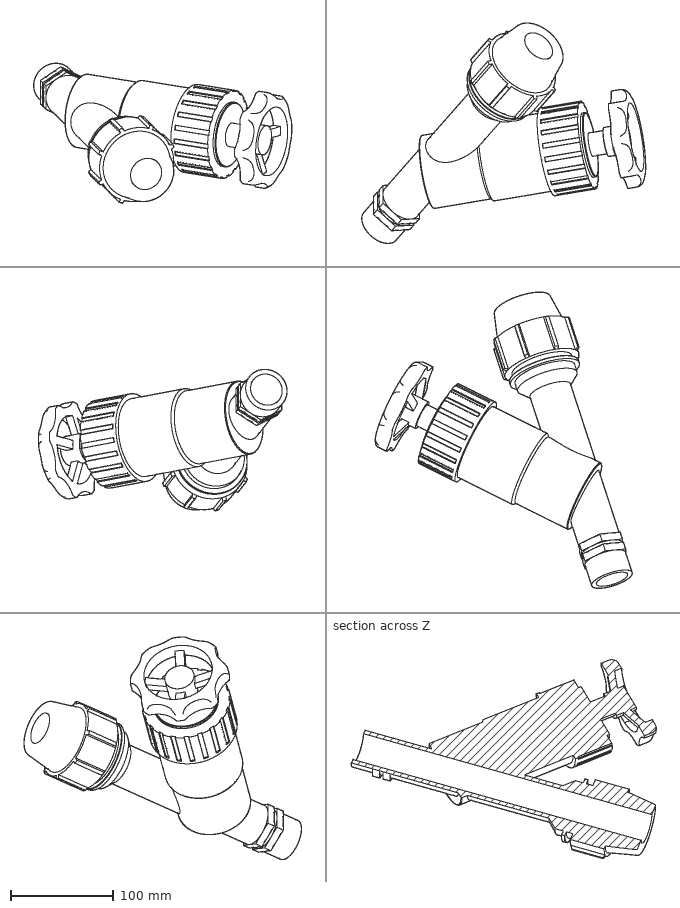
import cadquery as cq
import math

overall_length = 299.0
pipe_d = 41.91
bore_d = 32.0
hex_starts = (22.0, 32.8)
hex_width = 7.6
hex_sides = 6

socket_d = 61.5
socket_start = 204.9
flange_d = 71.34
flange_start = 222.8
flange_width = 3.6
flange_chamfer = 0.5
nut_d = 76.2
nut_start = 232.7
nut_length = 35.4
nut_rib_count = 8
nut_rib_tip_r = 41.3
nut_rib_width = 4.6
nut_rib_top_width = 3.8
nut_rib_front_slope = 2.0
nut_rib_back_slope = 1.0
nose_start_d = 68.8
nose_end_d = 57.4
nose_round = 2.0

branch_foot_x = 90.0
branch_angle = 45.0
lower_d = 72.9
lower_chamfer = 0.8
upper_d = 77.76
upper_start = 58.3
upper_ramp = 2.4
collar_d = 87.48
collar_start = 121.0
collar_end = 161.7
collar_groove_count = 20
collar_groove_width = 4.6
collar_groove_depth = 1.3
collar_groove_start = 124.6
cap_d = 64.15
cap_end = 164.6
cap_chamfer = 0.8
stem_d = 23.33
hub_d = 29.16
hub_start = 180.3
hub_end = 202.2

wheel_d = 97.18
wheel_bottom = 194.1
wheel_height = 15.7
wheel_round = 7.3
wheel_opening_d = 68.0
lobe_count = 8
lobe_tip_width = 8.2
lobe_corner_r = 2.0
scallop_floor_r = 42.1
spoke_count = 4
spoke_width = 9.0
spoke_hub_bottom = 187.8
spoke_thickness = 8.0

overlap = 1.0

wheel_r = wheel_d / 2
wheel_top = wheel_bottom + wheel_height


def rod(diameter, start, end):
    """Cylinder along local Z between two heights."""
    return cq.Workplane("XY").workplane(offset=start).circle(diameter / 2).extrude(end - start)


def turned(points):
    """Solid of revolution about local Z from (radius, height) points."""
    return cq.Workplane("XZ").polyline(points).close().revolve(360, (0, 0), (0, 1))


def placed(local_solid, plane):
    """Move a solid built along Z so that Z becomes the normal of the plane."""
    return cq.Workplane("XY").newObject([local_solid.val().moved(cq.Location(plane))])


def polar_copies(feature, count, first_angle=0.0):
    """Union of copies of a feature spaced evenly about local Z."""
    ring = cq.Workplane("XY")
    for i in range(count):
        ring = ring.add(feature.rotate((0, 0, 0), (0, 0, 1), first_angle + i * 360 / count))
    return ring.combine()


def make_pipe():
    pipe = rod(pipe_d, 0, socket_start + overlap)
    corner_d = pipe_d / math.cos(math.pi / hex_sides)
    for start in hex_starts:
        hexagon = cq.Workplane("XY").workplane(offset=start).polygon(hex_sides, corner_d).extrude(hex_width)
        pipe = pipe.union(hexagon.rotate((0, 0, 0), (0, 0, 1), 180 / hex_sides))
    return pipe


def make_nut_rib():
    """One nut rib along local +X: sloped ends and sides narrowing towards the tip."""
    nut_end = nut_start + nut_length
    root_r = nut_d / 2 - overlap
    side = (
        cq.Workplane("XZ")
        .polyline([
            (root_r, nut_start),
            (nut_d / 2, nut_start),
            (nut_rib_tip_r, nut_start + nut_rib_front_slope),
            (nut_rib_tip_r, nut_end - nut_rib_back_slope),
            (nut_d / 2, nut_end),
            (root_r, nut_end),
        ])
        .close()
        .extrude(nut_rib_width / 2, both=True)
    )
    section = (
        cq.Workplane("XY")
        .workplane(offset=nut_start)
        .polyline([
            (root_r, -nut_rib_width / 2),
            (nut_rib_tip_r, -nut_rib_top_width / 2),
            (nut_rib_tip_r, nut_rib_top_width / 2),
            (root_r, nut_rib_width / 2),
        ])
        .close()
        .extrude(nut_length)
    )
    return side.intersect(section)


def make_coupling():
    cone_length = (socket_d - pipe_d) / 2
    nut_end = nut_start + nut_length
    socket = turned([
        (0, socket_start),
        (pipe_d / 2, socket_start),
        (socket_d / 2, socket_start + cone_length),
        (socket_d / 2, nut_start + overlap),
        (0, nut_start + overlap),
    ])
    flange = rod(flange_d, flange_start, flange_start + flange_width).faces(">Z").chamfer(flange_chamfer)
    nut = rod(nut_d, nut_start, nut_end)
    nose = turned([
        (0, nut_end),
        (nose_start_d / 2, nut_end),
        (nose_end_d / 2, overall_length),
        (0, overall_length),
    ]).faces(">Z").edges().fillet(nose_round)
    ribs = polar_copies(make_nut_rib(), nut_rib_count, 180 / nut_rib_count)
    return socket.union(flange).union(nut).union(nose).union(ribs)


def make_valve_body():
    lower = rod(lower_d, 0, upper_start + upper_ramp).faces("<Z").chamfer(lower_chamfer)
    upper = turned([
        (0, upper_start),
        (lower_d / 2, upper_start),
        (upper_d / 2, upper_start + upper_ramp),
        (upper_d / 2, collar_start),
        (0, collar_start),
    ])
    collar = rod(collar_d, collar_start, collar_end)
    groove = (
        cq.Workplane("XY")
        .workplane(offset=collar_groove_start)
        .center(collar_d / 2, 0)
        .rect(2 * collar_groove_depth, collar_groove_width)
        .extrude(collar_end - collar_groove_start)
    )
    collar = collar.cut(polar_copies(groove, collar_groove_count))
    cap = rod(cap_d, collar_end, cap_end).faces(">Z").chamfer(cap_chamfer)
    return lower.union(upper).union(collar).union(cap)


def make_scallop():
    """Cutter for one finger recess, between the lobes on either side of local +X."""
    half_tip_angle = math.asin(lobe_tip_width / 2 / wheel_r)
    half_gap_angle = math.pi / lobe_count - half_tip_angle
    chord_half = wheel_r * math.sin(half_gap_angle)
    chord_x = wheel_r * math.cos(half_gap_angle)
    sag = chord_x - scallop_floor_r
    scallop_r = (chord_half ** 2 + sag ** 2) / (2 * sag)
    return (
        cq.Workplane("XY")
        .workplane(offset=wheel_bottom)
        .center(scallop_floor_r + scallop_r, 0)
        .circle(scallop_r)
        .extrude(wheel_height)
    )


def make_spoke():
    """One spoke along local +X, rising from the hub to the underside of the rim."""
    opening_r = wheel_opening_d / 2
    overlap_r = opening_r + overlap
    hub_r = hub_d / 2
    return (
        cq.Workplane("XZ")
        .polyline([
            (0, spoke_hub_bottom),
            (hub_r, spoke_hub_bottom),
            (opening_r, wheel_bottom),
            (overlap_r, wheel_bottom),
            (overlap_r, wheel_bottom + spoke_thickness),
            (opening_r, wheel_bottom + spoke_thickness),
            (hub_r, spoke_hub_bottom + spoke_thickness),
            (0, spoke_hub_bottom + spoke_thickness),
        ])
        .close()
        .extrude(spoke_width / 2, both=True)
    )


def make_handwheel():
    half_pitch = 180 / lobe_count
    rim = rod(wheel_d, wheel_bottom, wheel_top).rotate((0, 0, 0), (0, 0, 1), half_pitch)
    rim = rim.cut(polar_copies(make_scallop(), lobe_count, half_pitch))
    rim = rim.edges("|Z").fillet(lobe_corner_r)
    rounded_disc = rod(wheel_d, wheel_bottom, wheel_top).faces(">Z").edges().fillet(wheel_round)
    rim = rim.intersect(rounded_disc).cut(rod(wheel_opening_d, wheel_bottom, wheel_top))
    hub = rod(hub_d, hub_start, hub_end)
    stem = rod(stem_d, cap_end, hub_start)
    return rim.union(polar_copies(make_spoke(), spoke_count)).union(hub).union(stem)


pipe_plane = cq.Plane(origin=(0, 0, 0), xDir=(0, 1, 0), normal=(1, 0, 0))
lean = math.radians(branch_angle)
branch_plane = cq.Plane(
    origin=(branch_foot_x, 0, 0),
    xDir=(-math.sin(lean), math.cos(lean), 0),
    normal=(math.cos(lean), math.sin(lean), 0),
)

run = placed(make_pipe().union(make_coupling()), pipe_plane)
branch = placed(make_valve_body().union(make_handwheel()), branch_plane)
bore = placed(rod(bore_d, 0, overall_length), pipe_plane)

result = run.union(branch).cut(bore)